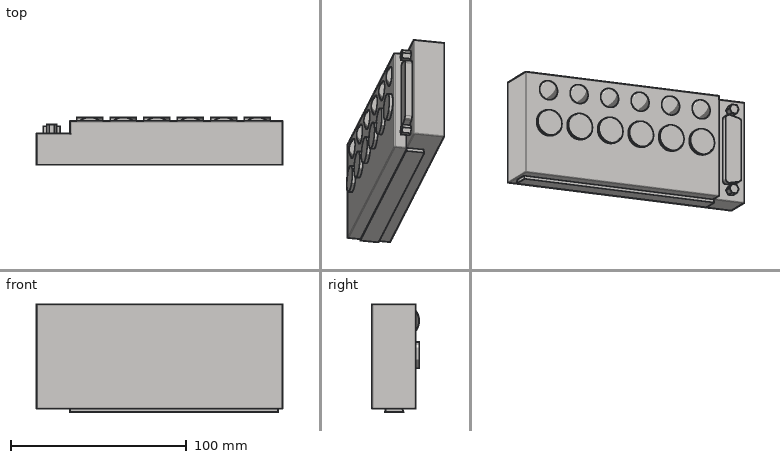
import cadquery as cq
import math

case_length = 140
case_depth = 25.0
case_height = 59.5
edge_round = 0.5

step_length = 19.0
step_depth = 7
step_y = case_depth - step_depth

connector_x = 8.8
connector_z = case_height / 2
shell_height = 41.3
shell_width = 9.8
shell_projection = 4.0
shell_slant = 13
shell_corner = 2.1
post_sides = 6
post_across_flats = 5.0
post_projection = 5.0
post_spacing = 47.2

button_count = 6
button_pitch = 19.0
first_button_x = 30.4
button_diameter = 15.0
button_z = 30.5
button_projection = 2.0
lamp_z = 50.0
lamp_diameter = 11.2

strip_start_x = 19.0
strip_length = 118.5
strip_width = 10.6
strip_thickness = 2.0
strip_flare = 0.5


def at_back(y):
    """Sketch plane facing +Y, with local x along -X and local y along Z."""
    return cq.Plane(origin=(0, y, 0), xDir=(-1, 0, 0), normal=(0, 1, 0))


def make_case():
    outline = [
        (0, 0),
        (case_length, 0),
        (case_length, case_depth),
        (step_length, case_depth),
        (step_length, step_y),
        (0, step_y),
    ]
    block = cq.Workplane("XY").polyline(outline).close().extrude(case_height)
    inner_corner = cq.selectors.NearestToPointSelector((step_length, step_y, case_height / 2))
    return block.edges(-inner_corner).fillet(edge_round)


def make_shell():
    """Trapezoid with rounded corners, its long side toward +X."""
    half_width = shell_width / 2
    half_height = shell_height / 2
    narrowing = shell_width * math.tan(math.radians(shell_slant))
    outline = [
        (-connector_x - half_width, connector_z - half_height),
        (-connector_x - half_width, connector_z + half_height),
        (-connector_x + half_width, connector_z + half_height - narrowing),
        (-connector_x + half_width, connector_z - half_height + narrowing),
    ]
    shell = cq.Workplane(at_back(step_y)).polyline(outline).close().extrude(shell_projection)
    return shell.edges("|Y").fillet(shell_corner)


def make_posts():
    post_diameter = post_across_flats / math.cos(math.pi / post_sides)
    half_spacing = post_spacing / 2
    centers = [(-connector_x, connector_z + side * half_spacing) for side in (-1, 1)]
    return (
        cq.Workplane(at_back(step_y))
        .pushPoints(centers)
        .polygon(post_sides, post_diameter)
        .extrude(post_projection)
    )


def make_button(x):
    return (
        cq.Workplane(at_back(case_depth))
        .center(-x, button_z)
        .circle(button_diameter / 2)
        .extrude(button_projection)
    )


def make_lamp(x):
    """Spherical cap standing on the back face."""
    radius = lamp_diameter / 2
    half_radius = radius / 2
    ball_radius = (radius**2 + button_projection**2) / (2 * button_projection)
    ball_center_y = button_projection - ball_radius
    half_radius_y = ball_center_y + math.sqrt(ball_radius**2 - half_radius**2)
    return (
        cq.Workplane("ZY")
        .lineTo(radius, 0)
        .threePointArc((half_radius, half_radius_y), (0, button_projection))
        .close()
        .revolve(360, (0, 0, 0), (0, 1, 0))
        .translate((x, case_depth, lamp_z))
    )


def make_strip():
    """Strip with upright ends whose long sides spread outward toward the bottom."""
    back_y = step_y
    front_y = back_y - strip_width
    profile = [
        (front_y, -strip_thickness),
        (back_y, -strip_thickness),
        (back_y - strip_flare, 0),
        (front_y + strip_flare, 0),
    ]
    return (
        cq.Workplane("YZ", origin=(strip_start_x, 0, 0))
        .polyline(profile)
        .close()
        .extrude(strip_length)
    )


result = make_case().union(make_shell()).union(make_posts()).union(make_strip())
for index in range(button_count):
    button_x = first_button_x + index * button_pitch
    result = result.union(make_button(button_x)).union(make_lamp(button_x))